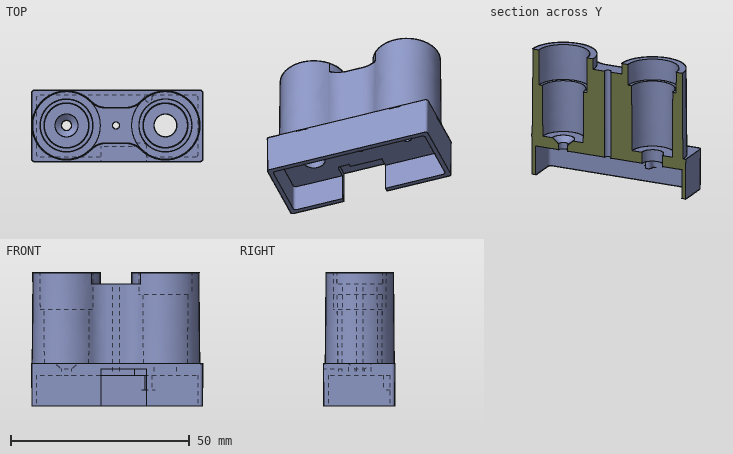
import cadquery as cq
import math

base_length = 47.9
base_width = 20.05
base_height = 11.9
base_corner_radius = 0.8
total_height = 37.3
draft_angle = 0.5

left_barrel_x = -14.15
right_barrel_x = 13.45
barrel_y = 0.15
barrel_radius = 9.65
bridge_x = (left_barrel_x + right_barrel_x) / 2
bridge_top = 34.2
bridge_half_width = 5.05
bridge_fillet = 6.0
saddle_half_length = 6.85
bridge_hole_diameter = 1.9

mouth_radius = 7.4
seat_radius = 6.3
left_mouth_depth = 10.35
right_mouth_depth = 6.15
left_cone_radius = 3.2
left_cone_depth = 1.55
left_hole_radius = 1.4
right_hole_radius = 3.15

wall = 1.4
cavity_height = 8.5
window_left = -4.6
window_right = 8.2
window_top = 10.35

pocket_step_x = 4.8
pocket_shallow_depth = 2.85
pocket_deep_depth = 3.85
pocket_corner_radius = 0.8

rib_width = 1.9
rib_left = 7.75
rib_bottom = 4.55
rib_reach = 1.9
rib_fillet = 0.85

front_inner_y = wall - base_width / 2
rear_inner_y = base_width / 2 - wall


def draft_loss(height):
    """Distance a drafted wall moves in over a height."""
    return height * math.tan(math.radians(draft_angle))


def block(x_min, x_max, y_min, y_max, z_min, z_max):
    """Axis-aligned block between two corners."""
    size = (x_max - x_min, y_max - y_min, z_max - z_min)
    return cq.Workplane("XY").box(*size, centered=False).translate((x_min, y_min, z_min))


def upright_cylinder(x, bottom_z, top_z, radius):
    """Straight cylinder at a place along the line of the barrel axes."""
    return cq.Workplane("XY", origin=(x, barrel_y, bottom_z)).circle(radius).extrude(top_z - bottom_z)


def upright_cone(x, bottom_z, top_z, bottom_radius, top_radius):
    """Tapered round solid at a place along the line of the barrel axes."""
    base_point = cq.Vector(x, barrel_y, bottom_z)
    return cq.Workplane(obj=cq.Solid.makeCone(bottom_radius, top_radius, top_z - bottom_z, base_point))


def make_base():
    """Round-cornered block drafted downwards from its top face."""
    top_face = cq.Sketch().rect(base_length, base_width).vertices().fillet(base_corner_radius)
    return cq.Workplane("XY", origin=(0, 0, base_height)).placeSketch(top_face).extrude(
        -base_height, taper=draft_angle
    )


def make_tower():
    """Both barrels and the web between them, whose concave flanks run tangent into the barrels."""
    half_spacing = (right_barrel_x - left_barrel_x) / 2
    fillet_y = bridge_half_width + bridge_fillet
    center_distance = barrel_radius + bridge_fillet
    fillet_x = half_spacing - math.sqrt(center_distance**2 - fillet_y**2)
    share = barrel_radius / center_distance
    tangent_x = half_spacing - share * (half_spacing - fillet_x)
    tangent_y = share * fillet_y
    middle_angle = (math.atan2(tangent_y - fillet_y, tangent_x - fillet_x) - math.pi / 2) / 2
    middle_x = fillet_x + bridge_fillet * math.cos(middle_angle)
    middle_y = fillet_y + bridge_fillet * math.sin(middle_angle)
    barrel_far_x = half_spacing + barrel_radius
    outline = (
        cq.Workplane("XY", origin=(bridge_x, barrel_y, base_height))
        .moveTo(-fillet_x, -bridge_half_width)
        .lineTo(fillet_x, -bridge_half_width)
        .threePointArc((middle_x, -middle_y), (tangent_x, -tangent_y))
        .threePointArc((barrel_far_x, 0), (tangent_x, tangent_y))
        .threePointArc((middle_x, middle_y), (fillet_x, bridge_half_width))
        .lineTo(-fillet_x, bridge_half_width)
        .threePointArc((-middle_x, middle_y), (-tangent_x, tangent_y))
        .threePointArc((-barrel_far_x, 0), (-tangent_x, -tangent_y))
        .threePointArc((-middle_x, -middle_y), (-fillet_x, -bridge_half_width))
        .close()
    )
    return outline.extrude(total_height - base_height, taper=draft_angle)


def make_saddle():
    """Space between the barrels above the bridge, with upright round ends around each barrel."""
    x_min = bridge_x - saddle_half_length
    x_max = bridge_x + saddle_half_length
    y_min = barrel_y - barrel_radius
    y_max = barrel_y + barrel_radius
    top_radius = barrel_radius - draft_loss(total_height - base_height)
    saddle = block(x_min, x_max, y_min, y_max, bridge_top, total_height)
    for x in (left_barrel_x, right_barrel_x):
        saddle = saddle.cut(upright_cylinder(x, bridge_top, total_height, top_radius))
    return saddle


def make_bore(x, mouth_depth, hole_radius):
    """Wide mouth, drafted seat bore and a straight hole down into the cavity."""
    ledge_z = total_height - mouth_depth
    seat_floor_radius = seat_radius - draft_loss(ledge_z - base_height)
    mouth_floor_radius = mouth_radius - draft_loss(mouth_depth)
    mouth = upright_cone(x, ledge_z, total_height, mouth_floor_radius, mouth_radius)
    seat = upright_cone(x, base_height, ledge_z, seat_floor_radius, seat_radius)
    hole = upright_cylinder(x, cavity_height, base_height, hole_radius)
    return mouth.union(seat).union(hole)


def make_left_cone():
    """Conical entry to the hole in the left bore's floor."""
    return upright_cone(
        left_barrel_x, base_height - left_cone_depth, base_height, left_hole_radius, left_cone_radius
    )


def make_cavity():
    """Rectangular hollow, open at the bottom."""
    inner_half_length = base_length / 2 - wall
    hollow = block(-inner_half_length, inner_half_length, front_inner_y, rear_inner_y, 0, cavity_height)
    return hollow.edges("|Z").fillet(base_corner_radius)


def make_window():
    """Opening through the front wall, up to the ceiling pocket."""
    return block(window_left, window_right, -base_width / 2, front_inner_y, 0, window_top)


def make_ceiling_pocket():
    """Recess above the cavity, deeper to the right and rounded in its right rear corner."""
    shallow_y = front_inner_y + pocket_shallow_depth
    deep_y = front_inner_y + pocket_deep_depth
    shallow = block(window_left, pocket_step_x, front_inner_y, shallow_y, cavity_height, window_top)
    deep = block(pocket_step_x, window_right, front_inner_y, deep_y, cavity_height, window_top)
    return shallow.union(deep.edges("|Z and >X and >Y").fillet(pocket_corner_radius))


def make_rib():
    """Round-nosed rib with concave fillets where it meets the rear wall."""
    rib_right = rib_left + rib_width
    nose_y = rear_inner_y - rib_reach
    root_y = rear_inner_y - rib_fillet
    bend = rib_fillet * (1 - math.sqrt(0.5))
    return (
        cq.Workplane("XY", origin=(0, 0, rib_bottom))
        .moveTo(rib_left - rib_fillet, rear_inner_y)
        .threePointArc((rib_left - bend, rear_inner_y - bend), (rib_left, root_y))
        .lineTo(rib_left, nose_y + rib_width / 2)
        .threePointArc((rib_left + rib_width / 2, nose_y), (rib_right, nose_y + rib_width / 2))
        .lineTo(rib_right, root_y)
        .threePointArc((rib_right + bend, rear_inner_y - bend), (rib_right + rib_fillet, rear_inner_y))
        .close()
        .extrude(cavity_height - rib_bottom)
    )


bridge_hole = upright_cylinder(bridge_x, 0, bridge_top, bridge_hole_diameter / 2)

result = (
    make_base()
    .union(make_tower())
    .cut(make_saddle())
    .cut(make_cavity())
    .cut(make_window())
    .cut(make_ceiling_pocket())
    .cut(make_bore(left_barrel_x, left_mouth_depth, left_hole_radius))
    .cut(make_left_cone())
    .cut(make_bore(right_barrel_x, right_mouth_depth, right_hole_radius))
    .cut(bridge_hole)
    .union(make_rib())
)